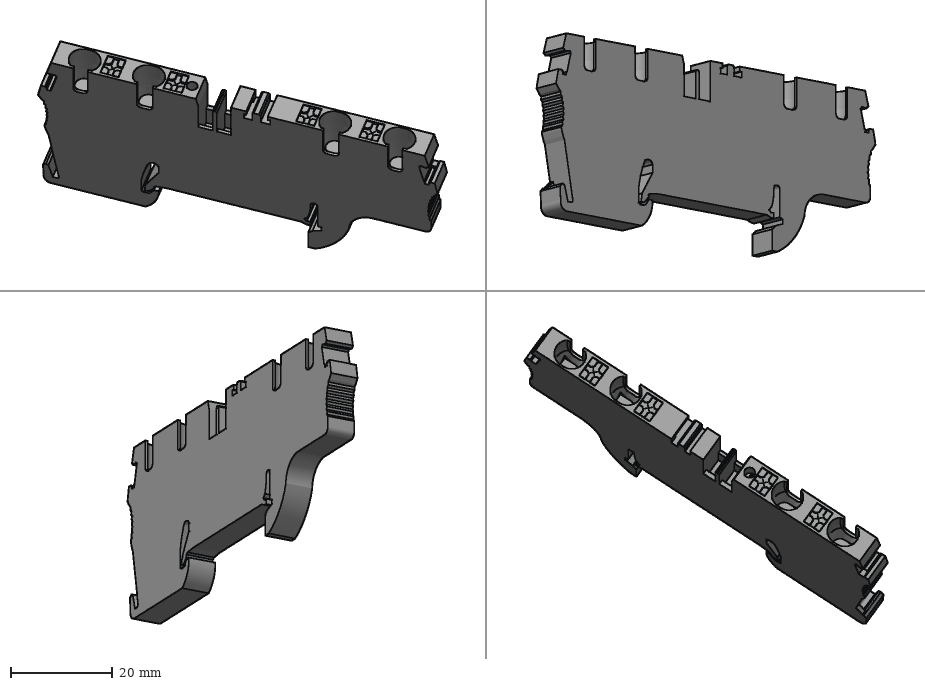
import cadquery as cq
import math

LENGTH = 83.0
WIDTH = 6.0
HEIGHT = 36.0
MID_Y = WIDTH / 2

GRIP_TOP = (0.75, 24.4)
GRIP_MIDDLE = (1.75, 20.3)
GRIP_BOTTOM = (1.3, 16.85)
GRIP_TEETH = 7
TOOTH_DEPTH = 0.25

RAIL_Z = 7.05
STEP_Z = 13.4

POCKET_LEFT = 33.3
POCKET_RIGHT = 40.1
POCKET_FLOOR = 27.8
POCKET_CHAMFER_X = 0.5
POCKET_CHAMFER_Z = 1.9
SHAFT_DEPTH = 4.15
SHAFT_FRONT = 0.75
SHAFT_BACK = 5.0
FIN_LEFT = 36.3
FIN_RIGHT = 37.2
FIN_TOP = 33.7
FIN_CHAMFER = 0.3

GROOVE_FLOOR = 33.9
LEFT_GROOVE = (43.3, 44.5)
RIGHT_GROOVE = (46.25, 47.75)
ISLAND_CHAMFER = 0.3

NICHE_DEPTH = 4.5
GROOVE_NICHE = (0.5, 1.2)
END_NICHE = (0.8, 0.6)
END_NICHE_X = 1.8
END_NOTCH_FLOOR = 28.2

FUNNELS = ((8.8, 3.0), (22.2, 3.3))
STADIUM_FLAT = 0.75
MOUTH_RADIUS = 2.8
WAIST_RADIUS = 2.65
THROAT_RADIUS = 1.75
MOUTH_Y = 2.7
THROAT_Y = 3.3
MOUTH_FRONT = 0.6
MOUTH_BASE = 32.5
WAIST_Z = 30.2
THROAT_FLOOR = 27.8
WINDOW_FLOOR = 29.3
WINDOW_DEPTH = 0.8
WINDOW_ROUND = 1.0

ACTUATOR_OFFSETS = (14.6, 27.7)
ACTUATOR_LENGTH = 3.7
ACTUATOR_WIDTH = 4.65
ACTUATOR_RECESS = 0.25
CROSS_WIDTH = 1.1
CROSS_DEPTH = 0.4
CROSS_POINT_DEPTH = 0.2
CROSS_CORNER_CUT = 0.5

TEST_X = 31.05
TEST_DIAMETER = 2.2
TEST_DEPTH = 3.3
SLIT_WIDTH = 0.5
SLIT_DEPTH = 1.25

WEB_THICKNESS = 1.0


def mirrored(points):
    """Reflect X-Z points to the other end of the housing."""
    return [(LENGTH - x, z) for x, z in points]


def circle_centre(a, b, c):
    """Centre of the circle through three points."""
    d = 2 * (a[0] * (b[1] - c[1]) + b[0] * (c[1] - a[1]) + c[0] * (a[1] - b[1]))
    qa, qb, qc = (p[0] ** 2 + p[1] ** 2 for p in (a, b, c))
    cx = (qa * (b[1] - c[1]) + qb * (c[1] - a[1]) + qc * (a[1] - b[1])) / d
    cz = (qa * (c[0] - b[0]) + qb * (a[0] - c[0]) + qc * (b[0] - a[0])) / d
    return cx, cz


def grip_points():
    """Saw-tooth points of the left grip, from top to bottom."""
    cx, cz = circle_centre(GRIP_TOP, GRIP_MIDDLE, GRIP_BOTTOM)
    radius = math.hypot(GRIP_TOP[0] - cx, GRIP_TOP[1] - cz)
    start = math.atan2(GRIP_TOP[1] - cz, GRIP_TOP[0] - cx)
    end = math.atan2(GRIP_BOTTOM[1] - cz, GRIP_BOTTOM[0] - cx)
    half_step = (end - start) / (2 * GRIP_TEETH)
    points = []
    for i in range(2 * GRIP_TEETH + 1):
        angle = start + i * half_step
        r = radius + TOOTH_DEPTH * (i % 2)
        points.append((cx + r * math.cos(angle), cz + r * math.sin(angle)))
    return points


def prism(sketch, y_start, y_end):
    """Extrude a closed X-Z sketch between two Y positions."""
    return sketch.extrude(y_start - y_end).translate((0, y_start, 0))


def block(x0, x1, y0, y1, z0, z1):
    """Axis-aligned box between the given limits."""
    return cq.Workplane("XY").box(x1 - x0, y1 - y0, z1 - z0, centered=False).translate((x0, y0, z0))


def housing():
    """Full-width body with end notches, grips, rail feet and the slots beside the feet."""
    end_profile = [
        (2.65, HEIGHT),
        (1.8, 33.0),
        (2.3, 32.5),
        (3.5, 32.6),
        (3.8, 32.2),
        (2.8, END_NOTCH_FLOOR),
        (1.7, END_NOTCH_FLOOR),
        (1.4, 28.5),
        (0.6, 28.5),
        (0.1, 26.1),
        (0.0, 25.5),
    ] + grip_points()

    outline = (
        cq.Workplane("XZ")
        .polyline(end_profile)
        .lineTo(1.4, 16.35)
        .lineTo(1.8, 15.1)
        .lineTo(2.2, 14.4)
        .lineTo(4.3, 2.5)
        .threePointArc((4.2, 2.2), (3.9, 2.0))
        .lineTo(3.1, 2.0)
        .lineTo(2.2, 5.2)
        .lineTo(1.7, 5.5)
        .lineTo(1.0, 4.8)
        .lineTo(1.2, 2.1)
        .threePointArc((1.6, 0.6), (2.65, 0.0))
        .lineTo(22.3, 0.0)
        .threePointArc((24.3, 2.25), (25.1, 5.6))
        .lineTo(24.1, 5.6)
        .lineTo(23.25, 4.4)
        .lineTo(22.75, 4.2)
        .lineTo(21.9, 4.2)
        .lineTo(21.5, 4.6)
        .lineTo(21.5, 7.9)
        .threePointArc((22.0, 10.3), (23.0, 13.1))
        .threePointArc((24.2, 13.6), (25.1, 12.8))
        .lineTo(25.1, 11.1)
        .lineTo(22.3, 6.6)
        .lineTo(22.1, 4.8)
        .lineTo(22.9, 4.8)
        .lineTo(24.1, 6.0)
        .lineTo(24.1, 6.5)
        .lineTo(24.6, 6.8)
        .lineTo(26.7, RAIL_Z)
        .lineTo(54.7, RAIL_Z)
        .lineTo(55.8, 6.65)
        .lineTo(56.55, 6.6)
        .lineTo(56.55, 7.7)
        .lineTo(55.9, 7.6)
        .lineTo(55.4, 8.1)
        .lineTo(56.05, 8.9)
        .threePointArc((56.5, 10.5), (56.6, 12.7))
        .threePointArc((57.4, 13.45), (58.1, 12.7))
        .lineTo(58.1, RAIL_Z)
        .lineTo(58.9, 6.7)
        .lineTo(58.9, 5.8)
        .lineTo(57.05, 5.15)
        .lineTo(56.1, 4.3)
        .lineTo(56.1, 0.0)
        .lineTo(57.6, 0.0)
        .threePointArc((62.1, 3.65), (64.6, 8.3))
        .threePointArc((66.25, 12.0), (69.3, STEP_Z))
        .lineTo(80.4, STEP_Z)
        .threePointArc((81.3, 13.7), (81.7, 14.6))
        .polyline(mirrored(end_profile)[::-1], includeCurrent=True)
        .close()
    )
    return prism(outline, 0, WIDTH)


def foot_web():
    """Thin wall that closes the left slot at the back."""
    web = cq.Workplane("XZ").polyline(
        [(3.5, 7.0), (4.6, 2.5), (4.15, 1.7), (2.9, 1.7), (1.9, 5.5)]
    ).close()
    return prism(web, WIDTH - WEB_THICKNESS, WIDTH)


def bridge_pocket():
    """Open pocket with a chamfered left edge and two shafts, less the fin."""
    opening = cq.Workplane("XZ").polyline([
        (POCKET_LEFT, POCKET_FLOOR),
        (POCKET_LEFT, HEIGHT - POCKET_CHAMFER_Z),
        (POCKET_LEFT - POCKET_CHAMFER_X, HEIGHT),
        (POCKET_RIGHT, HEIGHT),
        (POCKET_RIGHT, POCKET_FLOOR),
    ]).close()
    shafts = block(POCKET_LEFT, POCKET_RIGHT, SHAFT_FRONT, SHAFT_BACK,
                   POCKET_FLOOR - SHAFT_DEPTH, POCKET_FLOOR)
    fin = block(FIN_LEFT, FIN_RIGHT, 0, WIDTH, POCKET_FLOOR - SHAFT_DEPTH, FIN_TOP)
    fin = fin.faces(">Z").edges("|Y").chamfer(FIN_CHAMFER)
    return prism(opening, 0, WIDTH).union(shafts).cut(fin)


def marker_grooves():
    """Two cross grooves; the island between them has chamfered top edges."""
    grooves = block(LEFT_GROOVE[0], RIGHT_GROOVE[1], 0, WIDTH, GROOVE_FLOOR, HEIGHT)
    island = block(LEFT_GROOVE[1], RIGHT_GROOVE[0], 0, WIDTH, GROOVE_FLOOR, HEIGHT)
    return grooves.cut(island.faces(">Z").edges("|Y").chamfer(ISLAND_CHAMFER))


def niches():
    """Blind recesses in the front face beside the grooves and end notches."""
    groove_dx, groove_dz = GROOVE_NICHE
    end_dx, end_dz = END_NICHE
    corners = (
        (LEFT_GROOVE[0] - groove_dx, GROOVE_FLOOR, groove_dx, groove_dz),
        (RIGHT_GROOVE[1], GROOVE_FLOOR, groove_dx, groove_dz),
        (END_NICHE_X, END_NOTCH_FLOOR - end_dz, end_dx, end_dz),
        (LENGTH - END_NICHE_X - end_dx, END_NOTCH_FLOOR - end_dz, end_dx, end_dz),
    )
    cutter = cq.Workplane("XY")
    for x, z, dx, dz in corners:
        cutter = cutter.add(block(x, x + dx, 0, NICHE_DEPTH, z, z + dz))
    return cutter.combine()


def stadium(x, y, z, radius):
    """Horizontal stadium outline, long along X."""
    return cq.Workplane("XY", origin=(x, y, z)).slot2D(STADIUM_FLAT + 2 * radius, 2 * radius)


def stadium_taper(x, z_top, radius_top, z_base, y_base, radius_base):
    """Ruled solid between a stadium at the mouth position and a smaller one below."""
    upper = stadium(x, MOUTH_Y, z_top, radius_top).wires().val()
    lower = stadium(x, y_base, z_base, radius_base).wires().val()
    return cq.Workplane(obj=cq.Solid.makeLoft([upper, lower], True))


def wire_funnel(x, window_width, outer_side):
    """Wire entry: stadium mouth, two tapers, throat with one square corner, front window.

    outer_side is -1 or +1, the X direction of the nearer end of the housing.
    """
    mouth = stadium(x, MOUTH_Y, MOUTH_BASE, MOUTH_RADIUS).extrude(HEIGHT - MOUTH_BASE)
    slight = stadium_taper(x, MOUTH_BASE, MOUTH_RADIUS, WAIST_Z, MOUTH_Y, WAIST_RADIUS)
    steep = stadium_taper(x, WAIST_Z, WAIST_RADIUS, THROAT_FLOOR, THROAT_Y, THROAT_RADIUS)
    reach = STADIUM_FLAT / 2 + MOUTH_RADIUS
    limits = block(x - reach, x + reach, MOUTH_FRONT, WIDTH, THROAT_FLOOR, HEIGHT)
    funnel = mouth.union(slight).union(steep).intersect(limits)

    corner_x = x + outer_side * (STADIUM_FLAT / 2 + THROAT_RADIUS)
    corner = block(min(x, corner_x), max(x, corner_x), THROAT_Y - THROAT_RADIUS, THROAT_Y,
                   THROAT_FLOOR, WAIST_Z)

    half_width = window_width / 2
    window = block(x - half_width, x + half_width, 0, WINDOW_DEPTH, WINDOW_FLOOR, HEIGHT)
    window = window.faces("<Z").edges("|Y").fillet(WINDOW_ROUND)
    return funnel.union(corner).union(window)


def actuator_recess(x):
    """Shallow rectangle with a bevelled cross groove and a pyramid point at its centre."""
    top = HEIGHT - ACTUATOR_RECESS
    floor = top - CROSS_DEPTH
    half_x = ACTUATOR_LENGTH / 2
    half_y = ACTUATOR_WIDTH / 2
    half_cross = CROSS_WIDTH / 2
    recess = block(x - half_x, x + half_x, MID_Y - half_y, MID_Y + half_y, top, HEIGHT)
    arm_x = block(x - half_x, x + half_x, MID_Y - half_cross, MID_Y + half_cross, floor, top)
    arm_y = block(x - half_cross, x + half_cross, MID_Y - half_y, MID_Y + half_y, floor, top)

    bevel_reach = CROSS_WIDTH + CROSS_CORNER_CUT
    bevels = cq.Workplane("XY", origin=(x, MID_Y, floor)).polygon(4, 2 * bevel_reach).extrude(CROSS_DEPTH)

    def wedge(plane):
        profile = [(-half_cross, 0), (half_cross, 0), (0, -CROSS_POINT_DEPTH)]
        roof = cq.Workplane(plane).polyline(profile).close().extrude(half_cross, both=True)
        return roof.translate((x, MID_Y, floor))

    point = wedge("XZ").intersect(wedge("YZ"))
    return recess.union(arm_x).union(arm_y).union(bevels).union(point)


def test_hole():
    """Blind round hole with a slit across its floor."""
    floor = HEIGHT - TEST_DEPTH
    radius = TEST_DIAMETER / 2
    hole = cq.Workplane("XY", origin=(TEST_X, MID_Y, floor)).circle(radius).extrude(TEST_DEPTH)
    slit = block(TEST_X - SLIT_WIDTH / 2, TEST_X + SLIT_WIDTH / 2,
                 MID_Y - radius, MID_Y + radius, floor - SLIT_DEPTH, floor)
    return hole.union(slit)


result = housing().union(foot_web())
result = result.cut(bridge_pocket()).cut(marker_grooves()).cut(niches())
for offset, window_width in FUNNELS:
    result = result.cut(wire_funnel(offset, window_width, -1))
    result = result.cut(wire_funnel(LENGTH - offset, window_width, 1))
for offset in ACTUATOR_OFFSETS:
    result = result.cut(actuator_recess(offset))
    result = result.cut(actuator_recess(LENGTH - offset))
result = result.cut(test_hole())